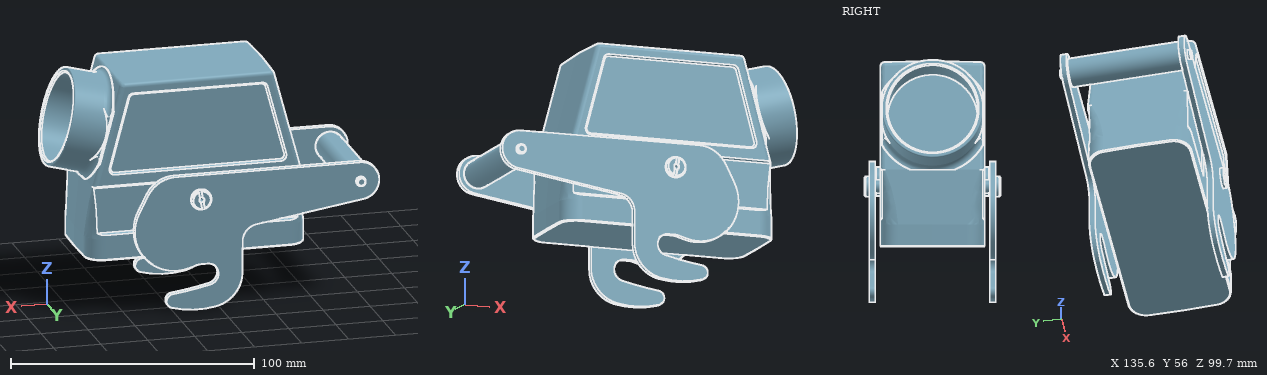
import cadquery as cq
import math


WIDTH = 43.0
HALF_WIDTH = WIDTH / 2
BASE_HALF_LENGTH = 46.85
BASE_HEIGHT = 9.3
BASE_CORNER_RADIUS = 7.5
BASE_CHAMFER = 0.5
SKIRT_CORNER_RADIUS = 5.7
WAIST_HEIGHT = 31.8
WAIST_HALF_LENGTH = 44.8
TOP_HEIGHT = 76.35
HOOD_FILLET = 2.0
END_SLOPE = 15.0
DRAFT = 1.0

WINDOW_BOTTOM = 36.8
WINDOW_TOP = 71.4
WINDOW_INSET = 5.0
WINDOW_DEPTH = 0.8
WINDOW_CORNER_RADIUS = 2.5
PANEL_BOTTOM = 11.0
PANEL_TOP = 32.2
PANEL_DEPTH = 0.9
PAD_LENGTH = 30.0
RECESS_BEVEL = 45.0

COLLAR_DIAMETER = 41.65
COLLAR_BORE = 37.0
COLLAR_LENGTH = 15.7
COLLAR_RISE = 21.77
COLLAR_EDGE_FILLET = 0.5
BORE_CHAMFER = 0.6
COLLAR_FLARE = 2.8
FLARE_FULL_HALF_WIDTH = 17.5

PLATE_INNER = 23.5
PLATE_THICKNESS = 2.5
PLATE_OUTER = PLATE_INNER + PLATE_THICKNESS
HANDLE_X = -68.0
HANDLE_Z = 26.85
HANDLE_END_RADIUS = 8.0
HANDLE_DIAMETER = 12.0
HANDLE_CHAMFER = 0.3
RIVET_DIAMETER = 3.95
RIVET_TIP_DIAMETER = 3.0
RIVET_HEIGHT = 1.6
PIVOT_Z = 24.85
PIVOT_DIAMETER = 5.6
HEAD_DIAMETER = 8.5
HEAD_HEIGHT = 2.0
HEAD_CHAMFER = 0.6
HEAD_SLOT_WIDTH = 1.2
HEAD_SLOT_DEPTH = 0.8
HEAD_SLOT_TILT = 11.0
HEAD_DIMPLE_DIAMETER = 2.2

LEVER_TOP = 35.1
SHOULDER_RADIUS = 13.0
SHOULDER_X = 10.8
SHOULDER = (SHOULDER_X, LEVER_TOP - SHOULDER_RADIUS, SHOULDER_RADIUS)
CAM = (10.0, 12.7, 18.0)
SLOT = (-3.0, -8.0, 4.6)
SLOT_MOUTH = (0.0, SLOT[1], SLOT[2])
TIP = (11.5, -18.3, 3.0)
NECK_X = -17.8
NECK_FILLET = 7.0
HOOK_BOTTOM = -22.83
HOOK_BELLY_RADIUS = 39.0
HOOK_BELLY_X = 1.0
HOOK_BELLY = (HOOK_BELLY_X, HOOK_BOTTOM + HOOK_BELLY_RADIUS, HOOK_BELLY_RADIUS)
HOOK_HEEL_RADIUS = 14.0
ARM_SLOPE = 8.8
SLOT_EXIT_ANGLE = 256.0
TIP_ENTRY_ANGLE = 84.0
JAW_SAG_POINT = (3.8, -14.1)


def on_circle(circle, angle):
    """Point of an (x, z, radius) circle at an angle in degrees."""
    x, z, radius = circle
    turn = math.radians(angle)
    return (x + radius * math.cos(turn), z + radius * math.sin(turn))


def mirrored(solid):
    """A feature of the -Y side together with its copy on the +Y side."""
    return [solid, solid.mirror("XZ")]



END_RUN = math.tan(math.radians(END_SLOPE))
DRAFT_DROP = HALF_WIDTH * math.tan(math.radians(DRAFT))
COLLAR_FOOT = -2 * DRAFT_DROP


def end_x(z):
    """Half length of the hood in the middle plane at height z."""
    return WAIST_HALF_LENGTH - (z - WAIST_HEIGHT) * END_RUN


def plan_outline(z, half_length, corner_radius):
    """Closed outline at height z with end faces that come to a slight ridge at y = 0."""
    side = half_length - DRAFT_DROP
    points = [
        (half_length, 0), (side, HALF_WIDTH), (-side, HALF_WIDTH),
        (-half_length, 0), (-side, -HALF_WIDTH), (side, -HALF_WIDTH),
    ]
    slab = cq.Workplane("XY").workplane(offset=z).polyline(points).close().extrude(1)
    corners = slab.edges("|Z").edges(">Y or <Y").fillet(corner_radius)
    return corners.faces("<Z").wires().val()


def make_base():
    """Straight foot, and above it a skirt whose corners sharpen towards the waist."""
    outline = plan_outline(0, BASE_HALF_LENGTH, BASE_CORNER_RADIUS)
    foot = cq.Workplane(cq.Solid.extrudeLinear(outline, [], cq.Vector(0, 0, BASE_HEIGHT)))
    foot = foot.faces("<Z").chamfer(BASE_CHAMFER)
    skirt = cq.Solid.makeLoft([
        plan_outline(BASE_HEIGHT, BASE_HALF_LENGTH, BASE_CORNER_RADIUS),
        plan_outline(
            (BASE_HEIGHT + WAIST_HEIGHT) / 2, (BASE_HALF_LENGTH + WAIST_HALF_LENGTH) / 2, SKIRT_CORNER_RADIUS
        ),
        plan_outline(WAIST_HEIGHT, WAIST_HALF_LENGTH, HOOD_FILLET),
    ])
    return foot.union(cq.Workplane(skirt))


def hood_section(y, drop):
    """Trapezoid of the hood in the plane at y, shrunk by the draft."""
    bottom = end_x(WAIST_HEIGHT) - drop
    top = end_x(TOP_HEIGHT) - drop
    points = [
        (-bottom, y, WAIST_HEIGHT), (bottom, y, WAIST_HEIGHT),
        (top, y, TOP_HEIGHT - drop), (-top, y, TOP_HEIGHT - drop),
    ]
    return cq.Wire.makePolygon([cq.Vector(*p) for p in points], close=True)


def make_hood():
    """Trapezoidal hood of two drafted halves, with rounded side rims and top ends."""
    middle = hood_section(0, 0)
    halves = [
        cq.Workplane(cq.Solid.makeLoft([middle, hood_section(side, DRAFT_DROP)], True))
        for side in (-HALF_WIDTH, HALF_WIDTH)
    ]
    hood = halves[0].union(halves[1])
    side_rims = hood.faces("<Y or >Y").edges("not <Z")
    top_ends = hood.faces(">Z").edges("not |X")
    return hood.newObject(side_rims.vals() + top_ends.vals()).fillet(HOOD_FILLET)


def window_cutter():
    """Bevelled trapezoid sunk into the -Y side face."""
    bottom = end_x(WINDOW_BOTTOM) - WINDOW_INSET
    top = end_x(WINDOW_TOP) - WINDOW_INSET
    points = [(-bottom, WINDOW_BOTTOM), (bottom, WINDOW_BOTTOM), (top, WINDOW_TOP), (-top, WINDOW_TOP)]
    sketch = cq.Sketch().polygon(points + points[:1]).vertices().fillet(WINDOW_CORNER_RADIUS)
    side = cq.Workplane("XZ", origin=(0, -HALF_WIDTH, 0))
    return side.placeSketch(sketch).extrude(-WINDOW_DEPTH, taper=RECESS_BEVEL)


def panel_cutter():
    """Band with bevelled ledges along the -Y side, leaving a flush pad behind the lever."""
    band = (
        cq.Workplane("YZ", origin=(-BASE_HALF_LENGTH, 0, 0))
        .moveTo(-HALF_WIDTH, PANEL_BOTTOM)
        .lineTo(-HALF_WIDTH + PANEL_DEPTH, PANEL_BOTTOM + PANEL_DEPTH)
        .lineTo(-HALF_WIDTH + PANEL_DEPTH, PANEL_TOP - PANEL_DEPTH)
        .lineTo(-HALF_WIDTH, PANEL_TOP)
        .close()
        .extrude(2 * BASE_HALF_LENGTH)
    )
    pad = cq.Workplane("XY").box(PAD_LENGTH, WIDTH, 2 * TOP_HEIGHT)
    return band.cut(pad)


def collar_plane():
    """Plane on the sloping +X end face, centred on the collar's axis and facing outward."""
    slope = math.radians(END_SLOPE)
    up_face = cq.Vector(-math.sin(slope), 0, math.cos(slope))
    origin = cq.Vector(WAIST_HALF_LENGTH, 0, WAIST_HEIGHT) + up_face * COLLAR_RISE
    return cq.Plane(origin=origin, xDir=(0, 1, 0), normal=(math.cos(slope), 0, math.sin(slope)))


def make_collar():
    """Solid collar cylinder with a rounded outer rim."""
    plane = collar_plane()
    cylinder = cq.Workplane(plane).workplane(offset=COLLAR_FOOT)
    cylinder = cylinder.circle(COLLAR_DIAMETER / 2).extrude(COLLAR_LENGTH - COLLAR_FOOT)
    rim = cq.selectors.DirectionMinMaxSelector(plane.zDir, True)
    return cylinder.faces(rim).edges().fillet(COLLAR_EDGE_FILLET)


def make_flare():
    """Concave flare around the collar's foot, fading out towards the hood's side faces."""
    plane = collar_plane()
    radius = COLLAR_DIAMETER / 2
    nearest = COLLAR_FLARE * (1 - math.sqrt(0.5))
    across = cq.Workplane(cq.Plane(origin=plane.origin, xDir=plane.xDir, normal=plane.yDir * -1))
    ring = (
        across.moveTo(0, COLLAR_FOOT)
        .lineTo(radius + COLLAR_FLARE, COLLAR_FOOT)
        .lineTo(radius + COLLAR_FLARE, 0)
        .threePointArc((radius + nearest, nearest), (radius, COLLAR_FLARE))
        .lineTo(0, COLLAR_FLARE)
        .close()
        .revolve(360, (0, 0, 0), (0, 1, 0))
    )
    fade = (
        across.polyline([
            (-radius, COLLAR_FOOT), (radius, COLLAR_FOOT), (radius, 0),
            (FLARE_FULL_HALF_WIDTH, COLLAR_FLARE), (-FLARE_FULL_HALF_WIDTH, COLLAR_FLARE), (-radius, 0),
        ])
        .close()
        .extrude(2 * COLLAR_DIAMETER, both=True)
    )
    above_waist = cq.Workplane("XY", origin=(0, 0, WAIST_HEIGHT)).box(
        4 * BASE_HALF_LENGTH, WIDTH, 2 * TOP_HEIGHT, centered=(True, True, False)
    )
    return ring.intersect(fade).intersect(above_waist)


def bore_cutter():
    """Blind bore of the collar, as deep as the collar is long, with a chamfered mouth."""
    plane = collar_plane()
    bore = cq.Workplane(plane).circle(COLLAR_BORE / 2).extrude(COLLAR_LENGTH)
    mouth_radius = COLLAR_BORE / 2 + BORE_CHAMFER
    mouth_centre = plane.toWorldCoords((0, 0, COLLAR_LENGTH))
    mouth = cq.Solid.makeCone(mouth_radius, COLLAR_BORE / 2, BORE_CHAMFER, mouth_centre, plane.zDir * -1)
    return bore.union(cq.Workplane(mouth))


def make_housing():
    """Base, hood and collar as one solid, with the bore and the side recesses cut in."""
    housing = make_base().union(make_hood()).union(make_flare()).union(make_collar())
    for cutter in [bore_cutter()] + mirrored(window_cutter()) + mirrored(panel_cutter()):
        housing = housing.cut(cutter)
    return housing




def arm_underside():
    """Start point at the handle end and gradient of the arm's sloping underside."""
    start = on_circle((HANDLE_X, HANDLE_Z, HANDLE_END_RADIUS), 270 - ARM_SLOPE)
    return start, -math.tan(math.radians(ARM_SLOPE))


def tangent_angles(first, second, radius_difference):
    """Direction from one circle's centre to the other, and the angle from it to a common tangent's normal."""
    run = second[0] - first[0]
    rise = second[1] - first[1]
    direction = math.degrees(math.atan2(rise, run))
    return direction, math.degrees(math.acos(radius_difference / math.hypot(run, rise)))


def make_plate():
    """Hooked side plate of the -Y side; its outline runs clockwise from above the handle."""
    handle = (HANDLE_X, HANDLE_Z, HANDLE_END_RADIUS)
    direction, offset = tangent_angles(CAM, SHOULDER, CAM[2] - SHOULDER[2])
    brow = direction - offset
    direction, offset = tangent_angles(SLOT_MOUTH, CAM, SLOT_MOUTH[2] + CAM[2])
    throat = direction + offset
    heel_x = NECK_X + HOOK_HEEL_RADIUS
    centre_gap = HOOK_BELLY[2] - HOOK_HEEL_RADIUS
    heel_z = HOOK_BELLY[1] - math.sqrt(centre_gap**2 - (HOOK_BELLY_X - heel_x) ** 2)
    heel = (heel_x, heel_z, HOOK_HEEL_RADIUS)
    belly_start = math.degrees(math.atan2(heel_z - HOOK_BELLY[1], heel_x - HOOK_BELLY_X))
    belly_end = math.degrees(math.atan2(TIP[1] - HOOK_BELLY[1], TIP[0] - HOOK_BELLY_X))
    start, gradient = arm_underside()
    bend_x = NECK_X - NECK_FILLET
    bend_z = start[1] + gradient * (bend_x - start[0]) - NECK_FILLET / math.cos(math.radians(ARM_SLOPE))
    bend = (bend_x, bend_z, NECK_FILLET)
    bend_end = 90 - ARM_SLOPE

    return (
        cq.Workplane("XZ")
        .moveTo(*on_circle(handle, 90))
        .lineTo(SHOULDER_X, LEVER_TOP)
        .threePointArc(on_circle(SHOULDER, (90 + brow) / 2), on_circle(SHOULDER, brow))
        .lineTo(*on_circle(CAM, brow))
        .threePointArc(on_circle(CAM, (brow + throat - 180) / 2), on_circle(CAM, throat - 180))
        .lineTo(*on_circle(SLOT_MOUTH, throat))
        .threePointArc(on_circle(SLOT_MOUTH, (90 + throat) / 2), on_circle(SLOT_MOUTH, 90))
        .lineTo(*on_circle(SLOT, 90))
        .threePointArc(on_circle(SLOT, 180), on_circle(SLOT, SLOT_EXIT_ANGLE))
        .threePointArc(JAW_SAG_POINT, on_circle(TIP, TIP_ENTRY_ANGLE))
        .threePointArc(on_circle(TIP, 0), on_circle(TIP, belly_end))
        .threePointArc(on_circle(HOOK_BELLY, -90), on_circle(heel, belly_start))
        .threePointArc(on_circle(heel, (belly_start - 180) / 2), on_circle(heel, 180))
        .lineTo(NECK_X, bend_z)
        .threePointArc(on_circle(bend, bend_end / 2), on_circle(bend, bend_end))
        .lineTo(*start)
        .threePointArc(on_circle(handle, 180), on_circle(handle, 90))
        .close()
        .extrude(PLATE_THICKNESS)
        .translate((0, -PLATE_INNER, 0))
    )


def make_pivot():
    """Pivot pin from the housing's side out through the plate, with a slotted, dimpled head."""
    crown = PLATE_OUTER + HEAD_HEIGHT
    pin = cq.Workplane("XZ", origin=(0, -HALF_WIDTH, PIVOT_Z))
    pin = pin.circle(PIVOT_DIAMETER / 2).extrude(PLATE_OUTER - HALF_WIDTH)
    head = cq.Workplane("XZ", origin=(0, -PLATE_OUTER, PIVOT_Z))
    head = head.circle(HEAD_DIAMETER / 2).extrude(HEAD_HEIGHT).faces("<Y").chamfer(HEAD_CHAMFER)
    slot = (
        cq.Workplane("XZ", origin=(0, -crown, PIVOT_Z))
        .transformed(rotate=(0, 0, -HEAD_SLOT_TILT))
        .rect(HEAD_SLOT_WIDTH, 2 * HEAD_DIAMETER)
        .extrude(-HEAD_SLOT_DEPTH)
    )
    dimple_radius = HEAD_DIMPLE_DIAMETER / 2
    dimple_rim = cq.Vector(0, HEAD_SLOT_DEPTH - crown, PIVOT_Z)
    dimple = cq.Solid.makeCone(dimple_radius, 0, dimple_radius, dimple_rim, cq.Vector(0, 1, 0))
    bore = cq.Workplane("XZ", origin=(0, -crown, PIVOT_Z)).circle(dimple_radius).extrude(-HEAD_SLOT_DEPTH)
    return pin.union(head).cut(slot).cut(bore).cut(cq.Workplane(dimple))


def make_rivet():
    """Chamfered rivet tip of the handle, outside the plate."""
    rivet = cq.Workplane("XZ", origin=(HANDLE_X, -PLATE_OUTER, HANDLE_Z))
    rivet = rivet.circle(RIVET_DIAMETER / 2).extrude(RIVET_HEIGHT)
    return rivet.faces("<Y").chamfer((RIVET_DIAMETER - RIVET_TIP_DIAMETER) / 2)


def make_lever():
    """Handle bar joining two mirrored plates, with their pivots and rivet tips."""
    lever = cq.Workplane("XZ", origin=(HANDLE_X, PLATE_INNER, HANDLE_Z))
    lever = lever.circle(HANDLE_DIAMETER / 2).extrude(2 * PLATE_INNER)
    lever = lever.faces("<Y or >Y").chamfer(HANDLE_CHAMFER)
    for side in (make_plate(), make_pivot(), make_rivet()):
        for copy in mirrored(side):
            lever = lever.union(copy)
    return lever


housing = make_housing()
lever = make_lever()
result = cq.Compound.makeCompound([housing.solids().val(), lever.solids().val()])